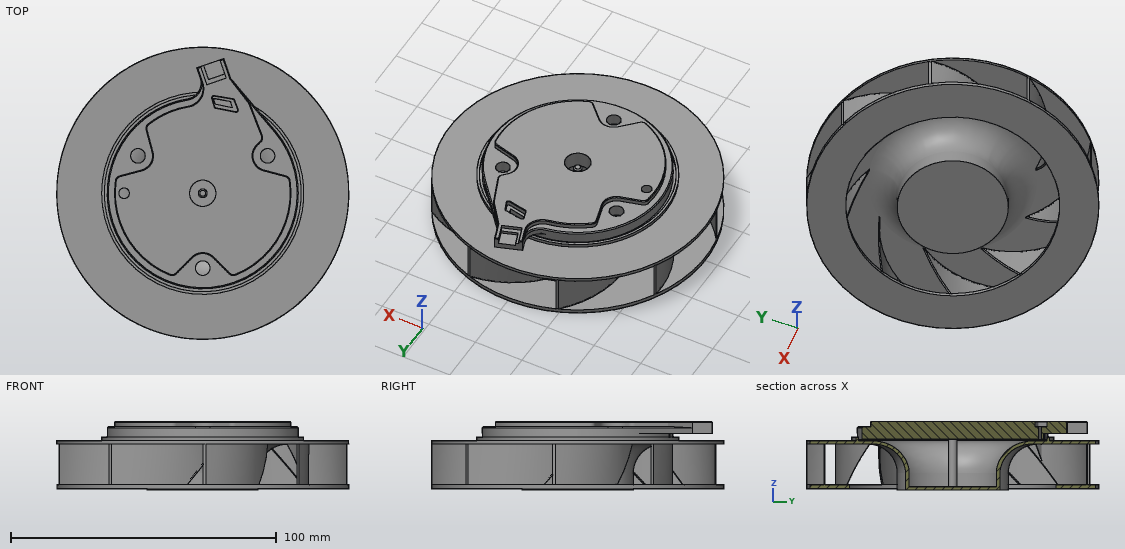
import cadquery as cq
import math

wheel_radius = 55.0
hub_radius = 20.9
hub_wall = 1.3
flare_start_z = 6.4
back_plate_bottom = 17.3
back_plate_top = back_plate_bottom + hub_wall
flare_radius = back_plate_bottom - flare_start_z
flare_center_radius = hub_radius + flare_radius

collar_outer_radius = 38.1
collar_inner_radius = 37.1
collar_top = 19.9

inlet_radius = 40.3
inlet_ring_bottom = 0.4
inlet_ring_top = 2.1

shaft_radius = 1.6
shaft_chamfer = 0.5
shaft_top = 23.4

blade_count = 9
blade_thickness = 0.4
blade_tip_angle = -89.3
blade_curve_radius = 40.7
blade_curve_offset = 24.4
blade_embed = 0.5

housing_bottom = 19.1
arm_bottom = 21.2
base_top = 23.9
housing_top = 25.8
base_radius = 36.0
base_chamfer = 0.4
arm_neck_fillet = 6.0

pad_radius = 33.2
pad_chamfer = 0.3
pad_corner_fillet = 2.2
pad_neck_fillet = 6.6

bolt_circle_radius = 28.2
bolt_hole_radius = 2.8
bolt_angles = (30, 150, 270)
notch_radius = 5.5
notch_half_angle = 45.0
notch_reach = 27.5
cut_back_side_angle = 45.0
cut_back_side_length = 3.4

pin_hole_radius = 2.0
pin_hole_x = -29.6
bearing_bore_radius = 5.0

tab_angle = 109.0
tab_width = 10.8
tab_right_end = (7.9, 50.7)
tab_right_length = 7.9
pad_shoulder = (17.6, 34.0)

channel_wall = 1.5
channel_length = 7.3
channel_side_ledge = 1.2
channel_back_ledge = 1.6
channel_ledge_z = 24.5
channel_floor_z = 23.4

wire_slot_corners = [(3.3, 36.7), (11.7, 35.3), (13.5, 30.5), (4.6, 32.2)]
wire_outlet_corners = [(4.0, 35.6), (10.5, 34.5), (11.1, 32.2), (4.7, 33.5)]
wire_slot_fillet = 0.7
wire_slot_chamfer = 0.2


def polar(radius, degrees):
    angle = math.radians(degrees)
    return (radius * math.cos(angle), radius * math.sin(angle))


def shifted(point, distance, degrees):
    step = polar(distance, degrees)
    return (point[0] + step[0], point[1] + step[1])


def make_hub_and_back_plate():
    """Flared rotor cup with its shaft, the back plate and the collar, as one turned shape."""
    diagonal = math.sqrt(0.5)
    outer_mid = (flare_center_radius - flare_radius * diagonal, flare_start_z + flare_radius * diagonal)
    inner_radius = flare_radius + hub_wall
    inner_mid = (flare_center_radius - inner_radius * diagonal, flare_start_z + inner_radius * diagonal)
    return (
        cq.Workplane("XZ")
        .moveTo(0, 0)
        .lineTo(-hub_radius, 0)
        .lineTo(-hub_radius, flare_start_z)
        .threePointArc((-outer_mid[0], outer_mid[1]), (-flare_center_radius, back_plate_bottom))
        .lineTo(-wheel_radius, back_plate_bottom)
        .lineTo(-wheel_radius, back_plate_top)
        .lineTo(-collar_outer_radius, back_plate_top)
        .lineTo(-collar_outer_radius, collar_top)
        .lineTo(-collar_inner_radius, collar_top)
        .lineTo(-collar_inner_radius, back_plate_top)
        .lineTo(-flare_center_radius, back_plate_top)
        .threePointArc((-inner_mid[0], inner_mid[1]), (hub_wall - hub_radius, flare_start_z))
        .lineTo(hub_wall - hub_radius, hub_wall)
        .lineTo(-shaft_radius, hub_wall)
        .lineTo(-shaft_radius, shaft_top - shaft_chamfer)
        .lineTo(shaft_chamfer - shaft_radius, shaft_top)
        .lineTo(0, shaft_top)
        .close()
        .revolve(360, (0, 0, 0), (0, 1, 0))
    )


def make_inlet_ring():
    return (
        cq.Workplane("XY", origin=(0, 0, inlet_ring_bottom))
        .circle(wheel_radius)
        .circle(inlet_radius)
        .extrude(inlet_ring_top - inlet_ring_bottom)
    )


def make_blade_envelope():
    """Turned space that the blades fill; its inner side slopes from the inlet to the flare."""
    bottom = inlet_ring_top - blade_embed
    top = back_plate_bottom + blade_embed
    return (
        cq.Workplane("XZ")
        .polyline([
            (inlet_radius, bottom),
            (wheel_radius, bottom),
            (wheel_radius, top),
            (flare_center_radius, top),
            (flare_center_radius, back_plate_bottom),
            (inlet_radius, inlet_ring_top),
        ])
        .close()
        .revolve(360, (0, 0, 0), (0, 1, 0))
    )


def make_blades():
    """Thin arc walls around offset centres, trimmed to the blade envelope."""
    cos_lag = (wheel_radius**2 + blade_curve_offset**2 - blade_curve_radius**2) / (
        2 * wheel_radius * blade_curve_offset
    )
    center_angle = blade_tip_angle - math.degrees(math.acos(cos_lag))
    center = polar(blade_curve_offset, center_angle)
    ring = (
        cq.Workplane("XY")
        .center(*center)
        .circle(blade_curve_radius + blade_thickness / 2)
        .circle(blade_curve_radius - blade_thickness / 2)
        .extrude(back_plate_top)
    )
    half_space = (
        cq.Workplane("XY")
        .rect(4 * wheel_radius, 2 * wheel_radius)
        .extrude(back_plate_top)
        .translate((0, wheel_radius, 0))
        .rotate((0, 0, 0), (0, 0, 1), center_angle)
    )
    blade = ring.intersect(half_space).intersect(make_blade_envelope())
    step = 360 / blade_count
    return [blade.rotate((0, 0, 0), (0, 0, 1), step * i) for i in range(blade_count)]


def make_impeller():
    impeller = make_hub_and_back_plate().union(make_inlet_ring())
    for blade in make_blades():
        impeller = impeller.union(blade)
    return impeller


def prism(points, bottom, top):
    return cq.Workplane("XY", origin=(0, 0, bottom)).polyline(points).close().extrude(top - bottom)


def disc(radius, bottom, top):
    return cq.Workplane("XY", origin=(0, 0, bottom)).circle(radius).extrude(top - bottom)


def fillet_upright_edge(body, point, radius):
    """Round the upright edge of the body that stands at the given point in plan."""
    reach = 0.1
    low = (point[0] - reach, point[1] - reach, -wheel_radius)
    high = (point[0] + reach, point[1] + reach, wheel_radius)
    return body.edges(cq.selectors.BoxSelector(low, high)).edges("|Z").fillet(radius)


def line_meets_circle(point, degrees, radius):
    """Where a line that starts outside a circle and runs the given way first meets it."""
    way = polar(1, degrees)
    along = point[0] * way[0] + point[1] * way[1]
    across_squared = point[0] ** 2 + point[1] ** 2 - along**2
    return shifted(point, -along - math.sqrt(radius**2 - across_squared), degrees)


def tab_points(rim_radius):
    """Left root on the rim, left end, right end and right root of the tab."""
    right_root = shifted(tab_right_end, tab_right_length, tab_angle + 180)
    left_end = shifted(tab_right_end, tab_width, tab_angle + 90)
    left_root = line_meets_circle(left_end, tab_angle + 180, rim_radius)
    return [left_root, left_end, tab_right_end, right_root]


def make_base():
    """Round base plate with the cable arm, whose right side runs tangent to the rim."""
    arm_points = tab_points(base_radius)
    root_x, root_y = arm_points[-1]
    tangent_angle = math.degrees(
        math.atan2(root_y, root_x) - math.acos(base_radius / math.hypot(root_x, root_y))
    )
    arm = prism(arm_points + [polar(base_radius, tangent_angle), (0, 0)], arm_bottom, base_top)
    base = disc(base_radius, housing_bottom, base_top).union(arm)
    base = fillet_upright_edge(base, arm_points[0], arm_neck_fillet)
    return base.faces(">Z").edges().chamfer(base_chamfer)


def notch_side(bolt_angle, side_angle, turn):
    """Point where a straight notch side, running outward at side_angle, leaves the notch arc."""
    return shifted(polar(bolt_circle_radius, bolt_angle), notch_radius, side_angle + turn)


def make_notch(bolt_angle, low_angle, high_angle):
    """Space round a bolt hole: an arc about the hole with two straight sides running outward."""
    low_side = notch_side(bolt_angle, low_angle, -90)
    high_side = notch_side(bolt_angle, high_angle, 90)
    inner = polar(bolt_circle_radius - notch_radius, bolt_angle)
    return (
        cq.Workplane("XY", origin=(0, 0, arm_bottom))
        .moveTo(*shifted(low_side, notch_reach, low_angle))
        .lineTo(*low_side)
        .threePointArc(inner, high_side)
        .lineTo(*shifted(high_side, notch_reach, high_angle))
        .close()
        .extrude(housing_top - arm_bottom)
    )


def make_pad():
    """Raised pad: a disc with a notch round each bolt hole and the cable tab.

    Its foot reaches down through the base, so that the tab sides stay flush with the arm.
    """
    pad = disc(pad_radius, arm_bottom, housing_top)
    rim_corners = []
    for bolt_angle in bolt_angles:
        low_angle = bolt_angle - notch_half_angle
        high_angle = bolt_angle + notch_half_angle
        outside = shifted(notch_side(bolt_angle, low_angle, -90), notch_reach, low_angle)
        rim_corners.append(line_meets_circle(outside, low_angle + 180, pad_radius))
        if bolt_angle == bolt_angles[0]:
            high_angle = cut_back_side_angle
        else:
            outside = shifted(notch_side(bolt_angle, high_angle, 90), notch_reach, high_angle)
            rim_corners.append(line_meets_circle(outside, high_angle + 180, pad_radius))
        pad = pad.cut(make_notch(bolt_angle, low_angle, high_angle))

    cut_back_start = notch_side(bolt_angles[0], cut_back_side_angle, 90)
    notch_shoulder = shifted(cut_back_start, cut_back_side_length, cut_back_side_angle)
    far_point = shifted(notch_shoulder, notch_reach, cut_back_side_angle)
    pad = pad.cut(prism([notch_shoulder, far_point, pad_shoulder], arm_bottom, housing_top))
    outline = tab_points(pad_radius)
    pad = pad.union(prism(outline + [pad_shoulder, notch_shoulder, (0, 0)], arm_bottom, housing_top))

    pad = fillet_upright_edge(pad, outline[0], pad_neck_fillet)
    for corner in rim_corners + [notch_shoulder]:
        pad = fillet_upright_edge(pad, corner, pad_corner_fillet)
    return pad.faces(">Z").edges().chamfer(pad_chamfer)


def tab_pocket(left_inset, length, floor_z):
    """Open-ended pocket along the tab, inset from its left side and from its right wall."""
    mouth_right = shifted(tab_right_end, channel_wall, tab_angle + 90)
    mouth_left = shifted(mouth_right, tab_width - left_inset - channel_wall, tab_angle + 90)
    back_right = shifted(mouth_right, length, tab_angle + 180)
    back_left = shifted(mouth_left, length, tab_angle + 180)
    return prism([mouth_right, mouth_left, back_left, back_right], floor_z, housing_top)


def make_cable_channel():
    """Channel between the tab walls, with a ledge along its left side and its back."""
    upper = tab_pocket(channel_wall, channel_length, channel_ledge_z)
    lower = tab_pocket(
        channel_wall + channel_side_ledge,
        channel_length - channel_back_ledge,
        channel_floor_z,
    )
    return upper.union(lower)


def make_wire_slot():
    """Slanted slot with a chamfered mouth and a smaller slot through its floor."""
    slot = prism(wire_slot_corners, base_top, housing_top).edges("|Z").fillet(wire_slot_fillet)
    mouth = (
        slot.faces(">Z")
        .wires()
        .toPending()
        .offset2D(wire_slot_chamfer)
        .extrude(-wire_slot_chamfer, taper=45, combine=False)
    )
    return slot.union(mouth).union(prism(wire_outlet_corners, housing_bottom, base_top))


def make_housing():
    housing = make_base().union(make_pad()).cut(make_cable_channel()).cut(make_wire_slot())
    holes = [(polar(bolt_circle_radius, angle), bolt_hole_radius) for angle in bolt_angles]
    holes.append(((pin_hole_x, 0), pin_hole_radius))
    holes.append(((0, 0), bearing_bore_radius))
    for center, radius in holes:
        housing = housing.cut(disc(radius, housing_bottom, housing_top).translate((*center, 0)))
    return housing


impeller = make_impeller().solids()
housing = make_housing().solids()
result = cq.Compound.makeCompound([impeller.val(), housing.val()])